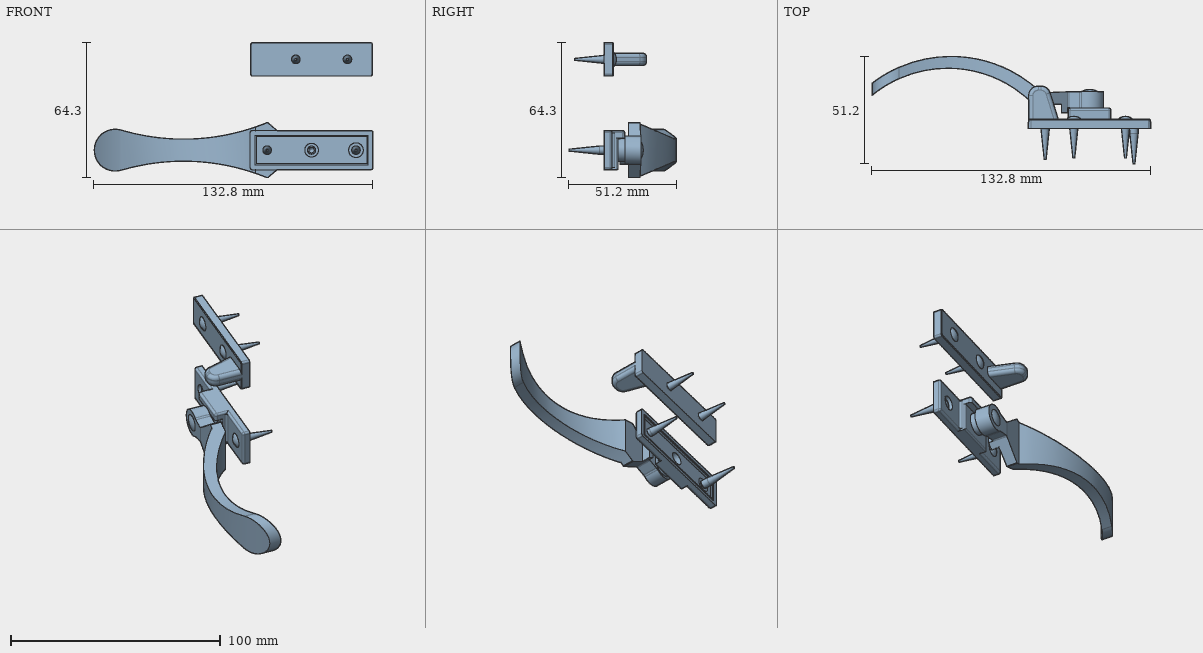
import cadquery as cq
import math


base_length = 58.5
base_width = 18.7
base_thickness = 3.8
base_corner_radius = 1.0
base_edge_radius = 1.1
recess_margin = 2.35
recess_lip_depth = 0.3
recess_lip_width = 0.6
recess_depth = 1.4
base_screw_spacing = 42.3
block_length = 20.4
block_height = 9.9
block_edge_radius = 1.2
block_corner_radius = 1.0
block_foot_radius = 1.1
ledge_height = 6.7
ledge_side_z = 5.7
ledge_edge_radius = 0.7
boss_radius = 5.5
pivot_counterbore_diameter = 6.5
pivot_counterbore_depth = 5.8
washer_thickness = 1.0
pin_diameter = 3.9
pin_head_diameter = 8.2
pin_head_height = 1.1
pin_dimple_diameter = 2.6
hub_radius = 6.75
hub_top_y = 17.6
shoulder_half_width = 13.1
shoulder_x = -20.8
shoulder_underside_y = 11.6
shoulder_underside_x = -26.8
finger_outer_x = -13.4
finger_inner_x = -10.5
finger_end_y = 7.5
neck_x = -10.2
neck_half_width = 4.0
neck_root_x = -4.0
neck_end_half_width = 6.1
neck_fillet = 0.9
neck_root_fillet = 2.5
grip_tip_x = -103.5
grip_tip_radius = 10.0
waist_x = -61.0
waist_half_width = 5.3
grip_outer_radius = 61.8
grip_outer_crest = (-65.9, 34.44)
grip_inner_crest = (-67.5, 28.7)
shoulder_top_y = 17.1
keeper_length = 58.0
keeper_width = 16.0
keeper_thickness = 4.5
keeper_corner_radius = 1.0
keeper_edge_chamfer = 0.4
keeper_z = 43.24
keeper_screw_x = (-7.5, 17.1)
nub_top_y = 20.3
nub_thickness = 6.0
nub_tip_radius = 4.6
nub_edge_radius = 2.0
nub_foot_x = -14.85
nub_slope_degrees = 17.2
screw_head_diameter = 7.0
screw_dome_height = 1.4
screw_shank_diameter = 4.1
screw_tip_diameter = 1.0
screw_shank_end = 3.95
screw_length = 18.55
deep_screw_offset = 2.05


def plate_block(length, width, y_start, y_end):
    """Box centred on the pivot axis between two heights."""
    return cq.Workplane("XY").box(length, y_end - y_start, width).translate((0, (y_start + y_end) / 2, 0))


def cylinder(diameter, y_start, y_end):
    """Cylinder on the pivot axis between two heights."""
    sketch = cq.Workplane("XZ", origin=(0, y_start, 0)).circle(diameter / 2)
    return sketch.extrude(y_start - y_end)


def revolve_about_y(profile):
    return profile.close().revolve(360, (0, 0, 0), (0, 1, 0))


def wood_screw():
    """Round-head screw; Y = 0 is the seat under its head."""
    head = screw_head_diameter / 2
    shank = screw_shank_diameter / 2
    tip = screw_tip_diameter / 2
    dome_radius = (head**2 + screw_dome_height**2) / (2 * screw_dome_height)
    mid_x = dome_radius * math.sin(math.asin(head / dome_radius) / 2)
    mid_y = screw_dome_height - dome_radius + math.sqrt(dome_radius**2 - mid_x**2)
    profile = (
        cq.Workplane("XY")
        .moveTo(0, screw_dome_height)
        .threePointArc((mid_x, mid_y), (head, 0))
        .lineTo(shank, 0)
        .lineTo(shank, -screw_shank_end)
        .lineTo(tip, -screw_length)
        .lineTo(0, -screw_length)
    )
    return revolve_about_y(profile)


def screw_hole():
    """Hole that the screw fills, open above its seat at Y = 0."""
    shank = cylinder(screw_shank_diameter, -screw_length, 0)
    return shank.union(cylinder(screw_head_diameter, 0, screw_length))


base_screw_places = [
    (-base_screw_spacing / 2, base_thickness, 0),
    (base_screw_spacing / 2, base_thickness - deep_screw_offset, 0),
]
keeper_screw_places = [(x, keeper_thickness, keeper_z) for x in keeper_screw_x]

recess_length = base_length - 2 * recess_margin
recess_width = base_width - 2 * recess_margin


def block_foot():
    """Concave flare where both ends of the block meet the flat top of the plate."""
    end_x = block_length / 2
    centre_x = end_x + block_foot_radius
    centre_y = base_thickness + block_foot_radius
    diagonal = block_foot_radius * math.sqrt(0.5)
    flat_width = base_width - 2 * base_edge_radius
    foot = (
        cq.Workplane("XY", origin=(0, 0, -flat_width / 2))
        .moveTo(-centre_x, base_thickness)
        .threePointArc((-centre_x + diagonal, centre_y - diagonal), (-end_x, centre_y))
        .lineTo(end_x, centre_y)
        .threePointArc((centre_x - diagonal, centre_y - diagonal), (centre_x, base_thickness))
        .close()
    )
    return foot.extrude(flat_width)


def base_body():
    plate = plate_block(base_length, base_width, 0, base_thickness)
    plate = plate.edges("|Y").fillet(base_corner_radius).faces(">Y").edges().fillet(base_edge_radius)

    block = plate_block(block_length, base_width, recess_depth, block_height)
    ledge_cut = cq.Workplane("XY").box(
        2 * block_length, block_height, base_width, centered=(True, False, False)
    )
    block = block.cut(ledge_cut.translate((0, ledge_height, ledge_side_z - base_width)))
    block = block.edges("|Y and >Z").fillet(block_corner_radius)
    block = block.faces(">Y").edges("not <Z").fillet(block_edge_radius)
    ledge = block.faces(cq.NearestToPointSelector((0, ledge_height, -base_width / 4)))
    block = ledge.edges("not >Z").fillet(ledge_edge_radius)
    boss = cylinder(2 * boss_radius, ledge_height, block_height)

    body = plate.union(block).union(block_foot()).union(boss)
    body = body.cut(plate_block(recess_length, recess_width, 0, recess_lip_depth))
    floor_length = recess_length - 2 * recess_lip_width
    floor_width = recess_width - 2 * recess_lip_width
    body = body.cut(plate_block(floor_length, floor_width, 0, recess_depth))
    body = body.cut(cylinder(pivot_counterbore_diameter, 0, pivot_counterbore_depth))
    body = body.cut(cylinder(pin_diameter, 0, block_height))
    for place in base_screw_places:
        body = body.cut(screw_hole().translate(place))
    return body


def pivot_washer():
    bottom = pivot_counterbore_depth - washer_thickness
    washer = cylinder(pivot_counterbore_diameter, bottom, pivot_counterbore_depth)
    return washer.cut(cylinder(pin_diameter, bottom, pivot_counterbore_depth))


def pivot_pin():
    head = pin_head_diameter / 2
    shank = pin_diameter / 2
    dimple = pin_dimple_diameter / 2
    end_y = pivot_counterbore_depth - washer_thickness
    dome_radius = (head**2 + pin_head_height**2) / (2 * pin_head_height)
    mid_x = head / 2
    mid_y = hub_top_y + pin_head_height - dome_radius + math.sqrt(dome_radius**2 - mid_x**2)
    profile = (
        cq.Workplane("XY")
        .moveTo(0, hub_top_y + pin_head_height)
        .threePointArc((mid_x, mid_y), (head, hub_top_y))
        .lineTo(shank, hub_top_y)
        .lineTo(shank, end_y)
        .lineTo(dimple, end_y)
        .lineTo(0, end_y + dimple)
    )
    return revolve_about_y(profile)


def lever_plan():
    """Lever outline seen along Y, extruded through its whole height."""
    height = grip_outer_crest[1]
    tip_x = grip_tip_x + grip_tip_radius
    reach = waist_x - tip_x
    waist_radius = (waist_half_width**2 + reach**2 - grip_tip_radius**2) / (
        2 * (grip_tip_radius - waist_half_width)
    )
    waist_z = waist_half_width + waist_radius
    tangent_share = grip_tip_radius / (grip_tip_radius + waist_radius)
    tangent_x = tip_x + reach * tangent_share
    tangent_z = waist_z * tangent_share
    flare_x = waist_x + math.sqrt(waist_radius**2 - (waist_z - shoulder_half_width) ** 2)

    plan = (
        cq.Workplane("XZ")
        .moveTo(tangent_x, tangent_z)
        .threePointArc((waist_x, waist_half_width), (flare_x, shoulder_half_width))
        .lineTo(shoulder_x, shoulder_half_width)
        .lineTo(neck_x, neck_half_width)
        .lineTo(0, neck_end_half_width)
        .lineTo(0, -neck_end_half_width)
        .lineTo(neck_x, -neck_half_width)
        .lineTo(shoulder_x, -shoulder_half_width)
        .lineTo(flare_x, -shoulder_half_width)
        .threePointArc((waist_x, -waist_half_width), (tangent_x, -tangent_z))
        .threePointArc((grip_tip_x, 0), (tangent_x, tangent_z))
        .close()
        .extrude(-height)
    )
    plan = plan.union(cylinder(2 * hub_radius, 0, height))
    neck_zone = cq.selectors.BoxSelector((neck_x - 1, -1, -hub_radius), (neck_x + 1, height + 1, hub_radius))
    root_zone = cq.selectors.BoxSelector(
        (neck_root_x - 1, -1, -hub_radius), (neck_root_x + 1, height + 1, hub_radius)
    )
    plan = plan.edges("|Y").edges(neck_zone).fillet(neck_fillet)
    return plan.edges("|Y").edges(root_zone).fillet(neck_root_fillet)


def lever_side():
    """Lever outline seen along Z, extruded across its whole width."""
    outer_x, outer_top = grip_outer_crest
    outer_y = outer_top - grip_outer_radius
    inner_x, inner_top = grip_inner_crest
    inner_reach = shoulder_underside_x - inner_x
    inner_fall = inner_top - shoulder_underside_y
    inner_radius = (inner_fall**2 + inner_reach**2) / (2 * inner_fall)
    inner_y = inner_top - inner_radius
    outer_start_x = outer_x + math.sqrt(grip_outer_radius**2 - (shoulder_top_y - outer_y) ** 2)
    outer_end_y = outer_y + math.sqrt(grip_outer_radius**2 - (grip_tip_x - outer_x) ** 2)
    inner_end_y = inner_y + math.sqrt(inner_radius**2 - (grip_tip_x - inner_x) ** 2)
    side = (
        cq.Workplane("XY", origin=(0, 0, -shoulder_half_width))
        .moveTo(shoulder_underside_x, shoulder_underside_y)
        .lineTo(finger_outer_x, shoulder_underside_y)
        .lineTo(finger_outer_x, finger_end_y)
        .lineTo(finger_inner_x, finger_end_y)
        .lineTo(finger_inner_x, block_height)
        .lineTo(hub_radius, block_height)
        .lineTo(hub_radius, hub_top_y)
        .lineTo(finger_inner_x, hub_top_y)
        .lineTo(outer_start_x, shoulder_top_y)
        .threePointArc((outer_x, outer_top), (grip_tip_x, outer_end_y))
        .lineTo(grip_tip_x, inner_end_y)
        .threePointArc((inner_x, inner_top), (shoulder_underside_x, shoulder_underside_y))
        .close()
    )
    return side.extrude(2 * shoulder_half_width)


def lever_body():
    lever = lever_plan().intersect(lever_side())
    return lever.cut(cylinder(pin_diameter, block_height, hub_top_y))


def keeper_body():
    plate = plate_block(keeper_length, keeper_width, 0, keeper_thickness)
    plate = plate.edges("|Y").fillet(keeper_corner_radius).faces(">Y").edges().chamfer(keeper_edge_chamfer)
    left = -keeper_length / 2
    slope = math.tan(math.radians(nub_slope_degrees))
    nub = (
        cq.Workplane("XY", origin=(0, 0, -nub_thickness / 2))
        .moveTo(left, 0)
        .lineTo(left, nub_top_y)
        .lineTo(nub_foot_x - slope * (nub_top_y - keeper_thickness), nub_top_y)
        .lineTo(nub_foot_x + slope * keeper_thickness, 0)
        .close()
        .extrude(nub_thickness)
    )
    nub = nub.edges("|Z and >Y").fillet(nub_tip_radius)
    nub = nub.edges("(<Z or >Z) and (not <Y)").fillet(nub_edge_radius)
    nub = nub.intersect(plate_block(keeper_length, keeper_width, keeper_thickness / 2, nub_top_y))
    body = plate.union(nub).translate((0, 0, keeper_z))
    for place in keeper_screw_places:
        body = body.cut(screw_hole().translate(place))
    return body


base = base_body()
washer = pivot_washer()
pin = pivot_pin()
lever = lever_body()
keeper = keeper_body()
screws = [wood_screw().translate(place) for place in base_screw_places + keeper_screw_places]

result = cq.Compound.makeCompound(
    [base.val(), washer.val(), pin.val(), lever.val(), keeper.val()] + [screw.val() for screw in screws]
)